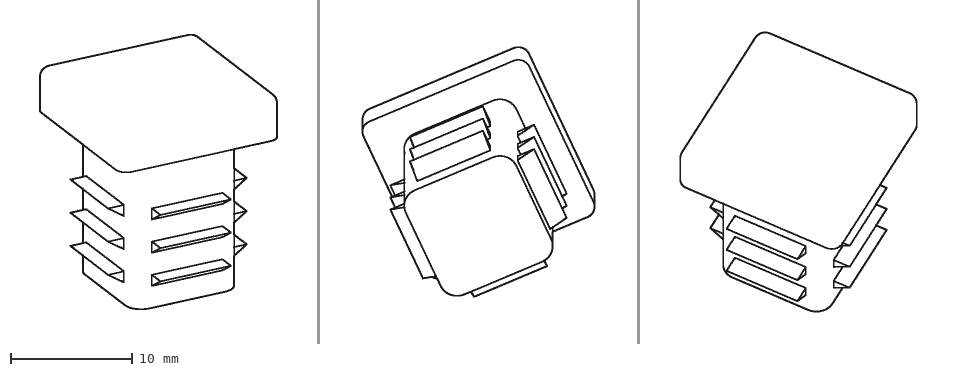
import cadquery as cq

total_height = 18.0
head_width = 15.0
head_height = 4.0
head_radius = 0.99
stem_width = 10.0
stem_radius = 1.5
stem_height = total_height - head_height

fin_length = 6.6
fin_reach = 1.5
fin_thickness = 1.0
fin_pitch = 3.0
fin_rows = 3
fin_embed = 0.18


def make_head():
    block = cq.Workplane("XY").workplane(offset=stem_height).rect(head_width, head_width).extrude(head_height)
    return block.edges("|Z or >Z").fillet(head_radius)


def make_stem():
    block = cq.Workplane("XY").rect(stem_width, stem_width).extrude(stem_height)
    return block.edges("|Z").fillet(stem_radius)


def make_fin(top_z):
    """Triangular fin on the +X face: flat on top, sloping back to the stem below."""
    face_x = stem_width / 2
    root_x = face_x - fin_embed
    bottom_z = top_z - fin_thickness
    profile = [
        (root_x, top_z),
        (face_x + fin_reach, top_z),
        (face_x, bottom_z),
        (root_x, bottom_z),
    ]
    return cq.Workplane("XZ").polyline(profile).close().extrude(fin_length / 2, both=True)


result = make_head().union(make_stem())
for row in range(1, fin_rows + 1):
    fin = make_fin(row * fin_pitch)
    for side_angle in (0, 90, 180, 270):
        result = result.union(fin.rotate((0, 0, 0), (0, 0, 1), side_angle))